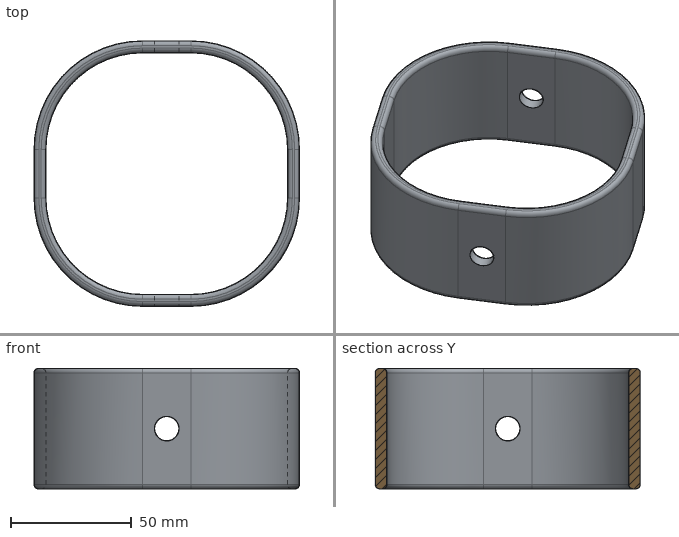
import cadquery as cq

outer_width = 110.0
height = 50.0
wall = 5.0
flat_length = 20.0
hole_diameter = 10.0
rim_radius = 2.0

outer_corner_radius = (outer_width - flat_length) / 2


def rounded_block(width, corner_radius):
    """Square block, centred on the origin, with rounded vertical edges."""
    return cq.Workplane("XY").box(width, width, height).edges("|Z").fillet(corner_radius)


def ring():
    """Rounded-square tube of constant wall with its rims rounded inside and out."""
    outer = rounded_block(outer_width, outer_corner_radius)
    inner = rounded_block(outer_width - 2 * wall, outer_corner_radius - wall)
    return outer.cut(inner).faces("<Z or >Z").edges().fillet(rim_radius)


def cross_hole():
    """Round bore along Y that passes through the front and back flats."""
    return cq.Workplane("XZ").circle(hole_diameter / 2).extrude(outer_width / 2, both=True)


result = ring().cut(cross_hole())